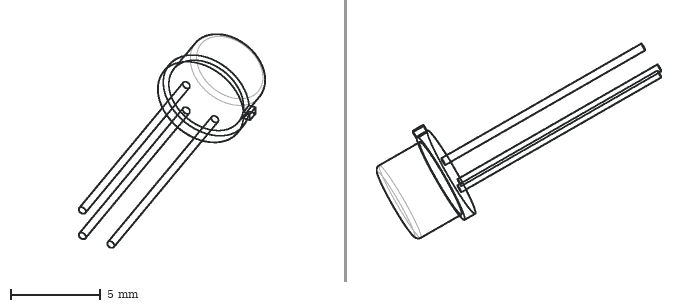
import cadquery as cq

total_length = 16.6

flange_diameter = 5.4
flange_thickness = 0.7
tab_length = 0.4
tab_width = 0.45

can_diameter = 4.7
can_height = 2.9
can_edge_radius = 0.27

lead_diameter = 0.45
lead_pitch = 1.8
lead_length = total_length - flange_thickness - can_height

lead_offset = lead_pitch / 2
lead_positions = [
    (-lead_offset, lead_offset),
    (-lead_offset, -lead_offset),
    (lead_offset, -lead_offset),
]


def disc_plane(y):
    """Plane across the package axis at y: local x is X, local y is -Z, normal is +Y."""
    return cq.Plane(origin=(0, y, 0), xDir=(1, 0, 0), normal=(0, 1, 0))


def at_xz(x, z):
    """Local coordinates on a disc plane, whose second axis points to -Z."""
    return (x, -z)


def make_header():
    """Flange with its index tab and the three leads, as one solid."""
    flange = cq.Workplane(disc_plane(0)).circle(flange_diameter / 2).extrude(flange_thickness)

    tab_reach = flange_diameter / 2 + tab_length
    tab = (
        cq.Workplane(disc_plane(0))
        .center(tab_reach / 2, 0)
        .rect(tab_reach, tab_width)
        .extrude(flange_thickness)
    )

    leads = (
        cq.Workplane(disc_plane(0))
        .pushPoints([at_xz(x, z) for x, z in lead_positions])
        .circle(lead_diameter / 2)
        .extrude(-lead_length)
    )
    return flange.union(tab).union(leads)


def make_can():
    """Cylindrical cap standing on the flange, rounded around its closed end."""
    can = cq.Workplane(disc_plane(flange_thickness)).circle(can_diameter / 2).extrude(can_height)
    return can.faces(">Y").edges().fillet(can_edge_radius)


header = make_header()
can = make_can()

result = cq.Compound.makeCompound([header.val(), can.val()])